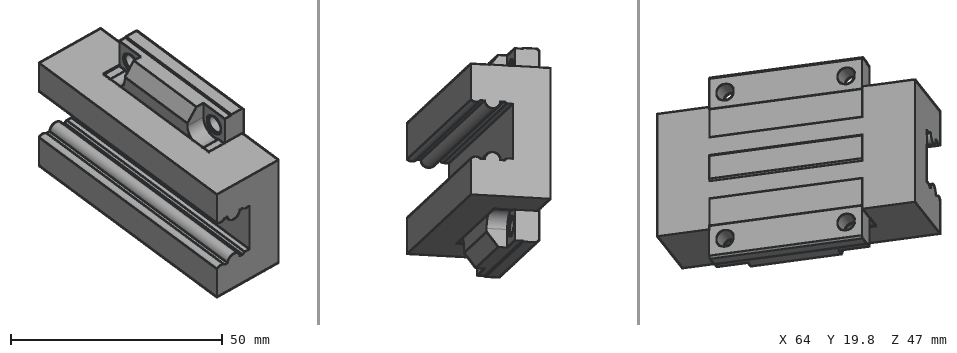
import cadquery as cq
import math


length = 64.0
body_depth = 19.3
body_half_height = 15.9

channel_depth = 10.2
land_z = 6.65
relief_z = 7.1
rail_radius = 1.9
rail_y = 5.25
rail_z = 7.2
inner_land_end_y = 8.7
inner_relief_y = 8.0
outer_relief_y = 2.4
outer_crest_y = 1.4

flange_length = 37.95
back_y = 19.8
flange_half_height = 23.5
back_chamfer = 0.6
edge_step = 0.2
edge_step_y = 15.9
pad_step = 0.25
flange_pad_z = 15.1
low_pad_z = 7.95
center_pad_half_height = 3.4

nose_front_y = 8.8
nose_slope_y = 11.65
nose_slope_z = 19.8
nose_length = 22.5

recess_y = 13.8
recess_floor_z = 15.55
hole_x = 15.05
hole_z = 18.95
hole_diameter = 4.3
hole_chamfer = 0.4
recess_radius = hole_x - nose_length / 2


def extrude_along_x(outline, size):
    """Extrude a closed Y-Z outline symmetrically about X = 0."""
    return outline.close().extrude(size / 2, both=True)


def box_between(low, high):
    """Make a box from two opposite corners."""
    size = [b - a for a, b in zip(low, high)]
    return cq.Workplane("XY").box(*size, centered=False).translate(low)


def make_body():
    half_rail = math.sqrt(rail_radius**2 - (rail_z - relief_z) ** 2)
    half_channel = extrude_along_x(
        cq.Workplane("YZ")
        .moveTo(channel_depth, 0)
        .lineTo(channel_depth, land_z)
        .lineTo(inner_land_end_y, land_z)
        .lineTo(inner_relief_y, relief_z)
        .lineTo(rail_y + half_rail, relief_z)
        .threePointArc((rail_y, rail_z - rail_radius), (rail_y - half_rail, relief_z))
        .lineTo(outer_relief_y, relief_z)
        .threePointArc((outer_crest_y, land_z), (0, relief_z))
        .lineTo(0, 0),
        length,
    )
    body = cq.Workplane("XY").box(length, body_depth, 2 * body_half_height, centered=(True, False, True))
    return body.cut(half_channel).cut(half_channel.mirror("XY"))


def make_upper_flange():
    edge_z = flange_half_height - edge_step
    pad_y = back_y - pad_step
    return extrude_along_x(
        cq.Workplane("YZ")
        .moveTo(nose_front_y, low_pad_z)
        .lineTo(nose_front_y, nose_slope_z)
        .lineTo(nose_slope_y, edge_z)
        .lineTo(edge_step_y - edge_step, edge_z)
        .lineTo(edge_step_y, flange_half_height)
        .lineTo(back_y - back_chamfer, flange_half_height)
        .lineTo(back_y, flange_half_height - back_chamfer)
        .lineTo(back_y, flange_pad_z)
        .lineTo(pad_y, flange_pad_z)
        .lineTo(pad_y, low_pad_z),
        flange_length,
    )


def make_center_pad():
    pad_height = back_y - body_depth
    top_z = center_pad_half_height - pad_height
    return extrude_along_x(
        cq.Workplane("YZ")
        .moveTo(channel_depth, -center_pad_half_height)
        .lineTo(body_depth, -center_pad_half_height)
        .lineTo(back_y, -top_z)
        .lineTo(back_y, top_z)
        .lineTo(body_depth, center_pad_half_height)
        .lineTo(channel_depth, center_pad_half_height),
        flange_length,
    )


def cylinder_y(radius, start_y, end_y):
    """Make a cylinder along Y at the +X, +Z screw position."""
    start = cq.Vector(hole_x, start_y, hole_z)
    return cq.Workplane(cq.Solid.makeCylinder(radius, end_y - start_y, start, cq.Vector(0, 1, 0)))


def make_screw_cut():
    """Recess and chamfered through hole at the +X, +Z corner."""
    flange_end_x = flange_length / 2
    above_z = flange_half_height
    recess = cylinder_y(recess_radius, nose_front_y, recess_y)
    recess = recess.union(
        box_between((nose_length / 2, nose_front_y, hole_z), (flange_end_x, recess_y, above_z))
    )
    recess = recess.union(
        box_between((hole_x, nose_front_y, recess_floor_z), (flange_end_x, recess_y, above_z))
    )
    hole_radius = hole_diameter / 2
    hole = cylinder_y(hole_radius, recess_y, back_y)
    mouth = cq.Solid.makeCone(
        hole_radius + hole_chamfer,
        hole_radius,
        hole_chamfer,
        cq.Vector(hole_x, recess_y, hole_z),
        cq.Vector(0, 1, 0),
    )
    return recess.union(hole).union(cq.Workplane(mouth))


upper_flange = make_upper_flange()
result = make_body().union(upper_flange).union(upper_flange.mirror("XY")).union(make_center_pad())

upper_right_cut = make_screw_cut()
for upper_cut in (upper_right_cut, upper_right_cut.mirror("YZ")):
    result = result.cut(upper_cut).cut(upper_cut.mirror("XY"))